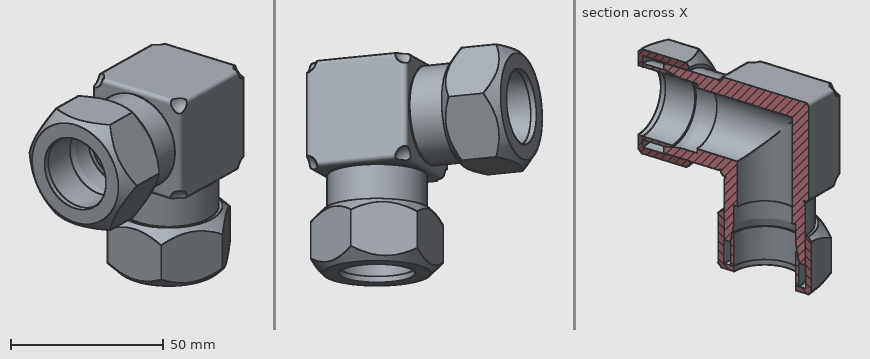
import cadquery as cq
import math


nut_across_flats = 38.1
nut_across_corners = nut_across_flats / math.cos(math.radians(30))
nut_length = 21.0
nut_face_radius = 17.65
nut_lip_thickness = 2.0

total_length = 70.55
arm_length = total_length - nut_across_flats / 2
nut_inner_z = -arm_length + nut_length
lip_inner_z = -arm_length + nut_lip_thickness

cube_side = 36.0
cube_edge_radius = 1.5
corner_scoop_radius = 4.0

stub_radius = 16.5
neck_chamfer = 0.7

tube_radius = 12.55
bore_radius = 11.0
socket_depth = 7.05

ring_length = 12.0
cone_half_angle = math.radians(12)
cone_mouth_radius = 14.0
cone_length = (cone_mouth_radius - tube_radius) / math.tan(cone_half_angle)
nose_to_socket = 2.95

ring_nose_z = lip_inner_z + ring_length
cone_small_z = ring_nose_z + nose_to_socket
stub_end_z = cone_small_z - cone_length
socket_floor_z = cone_small_z + socket_depth
ring_nose_radius = tube_radius + nose_to_socket * math.tan(cone_half_angle)


def revolve_about_z(points):
    """Revolve an outline of (radius, z) points about the Z axis."""
    return cq.Workplane("XZ").polyline(points).close().revolve(360, (0, 0), (0, 1))


def cylinder(radius, z_start, z_end):
    return cq.Workplane("XY").workplane(offset=z_start).circle(radius).extrude(z_end - z_start)


def turn_to_front(shape):
    """Turn a shape made for the -Z arm onto the -Y arm."""
    return shape.rotate((0, 0, 0), (1, 0, 0), -90)


def make_cube():
    """Cube with rounded edges and a ball-shaped scoop at each corner."""
    cube = cq.Workplane("XY").box(cube_side, cube_side, cube_side).edges().fillet(cube_edge_radius)
    half_side = cube_side / 2
    ball = cq.Workplane("XY").sphere(corner_scoop_radius).rotate((0, 0, 0), (0, 0, 1), 45)
    for z in (-half_side, half_side):
        corner_ball = ball.translate((half_side, half_side, z))
        for quarter_turn in range(4):
            cube = cube.cut(corner_ball.rotate((0, 0, 0), (0, 0, 1), 90 * quarter_turn))
    return cube


def make_stub():
    """Round stub, narrowed at the neck by a chamfer; its root lies inside the cube."""
    neck_z = -cube_side / 2
    neck_radius = stub_radius - neck_chamfer
    root_z = neck_z + cube_edge_radius
    return revolve_about_z([
        (0, root_z),
        (neck_radius, root_z),
        (neck_radius, neck_z),
        (stub_radius, neck_z - neck_chamfer),
        (stub_radius, stub_end_z),
        (0, stub_end_z),
    ])


def make_socket():
    """Hollow at the end of a stub: the ring cone, then the tube socket with a flat floor."""
    return revolve_about_z([
        (0, stub_end_z),
        (cone_mouth_radius, stub_end_z),
        (tube_radius, cone_small_z),
        (tube_radius, socket_floor_z),
        (0, socket_floor_z),
    ])


def make_bore():
    """Mitred bore that joins the floors of the two sockets."""
    path = cq.Workplane("YZ").polyline([(0, socket_floor_z), (0, 0), (socket_floor_z, 0)])
    start = cq.Workplane("XY").workplane(offset=socket_floor_z).circle(bore_radius)
    return start.sweep(path, transition="right")


def make_elbow():
    elbow = make_cube()
    for stub in (make_stub(), turn_to_front(make_stub())):
        elbow = elbow.union(stub)
    for hollow in (make_socket(), turn_to_front(make_socket()), make_bore()):
        elbow = elbow.cut(hollow)
    return elbow


def make_nut():
    """Hex nut with bevelled corners, bored for the stub up to a lip around the tube."""
    outer_z = -arm_length
    corner_radius = nut_across_corners / 2
    bevel = corner_radius - nut_face_radius
    hexagon = (cq.Workplane("XY").workplane(offset=outer_z)
               .polygon(6, nut_across_corners).extrude(nut_length))
    envelope = revolve_about_z([
        (0, outer_z),
        (nut_face_radius, outer_z),
        (corner_radius, outer_z + bevel),
        (corner_radius, nut_inner_z - bevel),
        (nut_face_radius, nut_inner_z),
        (0, nut_inner_z),
    ])
    tube_hole = cylinder(tube_radius, outer_z, lip_inner_z)
    stub_hole = cylinder(stub_radius, lip_inner_z, nut_inner_z)
    return hexagon.intersect(envelope).cut(tube_hole).cut(stub_hole)


def make_ring():
    """Cutting ring: a sleeve behind the nut lip whose nose fits the cone of the stub."""
    return revolve_about_z([
        (tube_radius, lip_inner_z),
        (cone_mouth_radius, lip_inner_z),
        (cone_mouth_radius, stub_end_z),
        (ring_nose_radius, ring_nose_z),
        (tube_radius, ring_nose_z),
    ])


elbow = make_elbow()

nuts = []
rings = []
for place_on_arm in (lambda shape: shape, turn_to_front):
    nuts.append(place_on_arm(make_nut()).val())
    rings.append(place_on_arm(make_ring()).val())

result = cq.Compound.makeCompound([elbow.val(), *nuts, *rings])